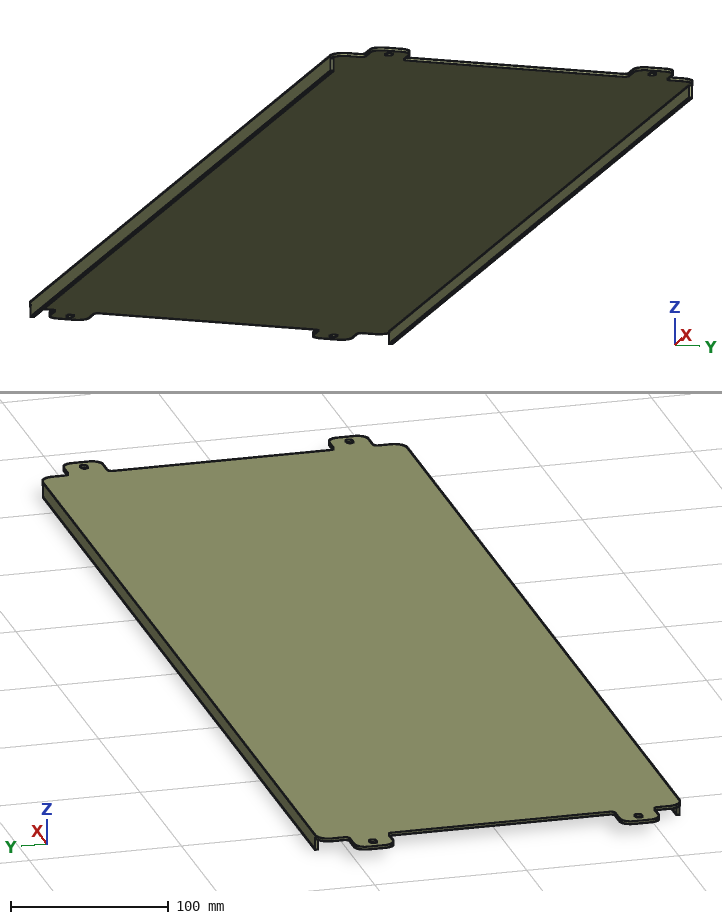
import cadquery as cq

overall_length = 716.0
plate_length = 675.0
plate_width = 240.0
tray_height = 10.0
sheet_thickness = 2.0
plate_corner_radius = 8.5

flange_length = 658.0

ear_width = 26.0
ear_spacing = 175.0
ear_corner_radius = 7.0
ear_root_radius = 3.0
root_tolerance = 0.1

slot_length = 6.5
slot_width = 4.0
slot_edge_distance = 8.5
slot_spacing = overall_length - 2 * slot_edge_distance


def sheet(length, width, corner_radius):
    """Flat centred blank with its top face at Z = 0 and rounded corners."""
    blank = cq.Workplane("XY").rect(length, width).extrude(-sheet_thickness)
    return blank.edges("|Z").fillet(corner_radius)


def flange(side):
    """Downturned strip flush with the plate's long edge; side is -1 or 1."""
    center_y = side * (plate_width - sheet_thickness) / 2
    return (
        cq.Workplane("XY")
        .center(0, center_y)
        .rect(flange_length, sheet_thickness)
        .extrude(-tray_height)
    )


result = sheet(plate_length, plate_width, plate_corner_radius)

for side in (-1, 1):
    ears = sheet(overall_length, ear_width, ear_corner_radius)
    result = result.union(ears.translate((0, side * ear_spacing / 2, 0)))

for end in (-1, 1):
    root_x = end * plate_length / 2
    root_band = cq.selectors.BoxSelector(
        (root_x - root_tolerance, -plate_width, -tray_height),
        (root_x + root_tolerance, plate_width, tray_height),
    )
    result = result.edges("|Z").edges(root_band).fillet(ear_root_radius)

for side in (-1, 1):
    result = result.union(flange(side))

slots = (
    cq.Workplane("XY")
    .rarray(slot_spacing, ear_spacing, 2, 2)
    .slot2D(slot_length, slot_width)
    .extrude(-sheet_thickness)
)
result = result.cut(slots)